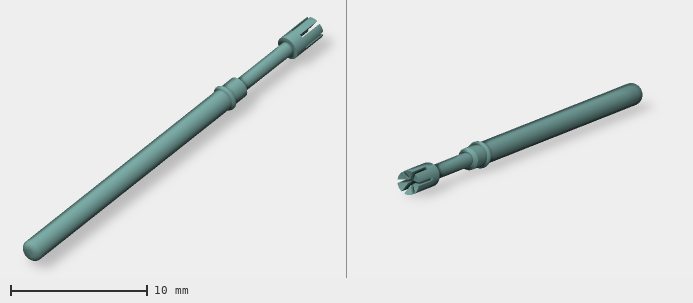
import cadquery as cq

overall_length = 32.3

head_radius = 0.92
head_length = 2.97
slot_width = 0.25
slot_length = 1.97
slot_count = 6
cup_depth = 0.5

stem_radius = 0.55

barrel_radius = 0.85
barrel_start = 8.3
shoulder_chamfer = 0.23
tail_round_radius = 0.45

ring_radius = 1.017
ring_position = 10.08
ring_round_radius = 0.23

half_length = overall_length / 2


def cylinder(radius, start, end):
    """Round bar along Y between two distances from the tip."""
    plane = cq.Workplane("XZ", origin=(0, half_length - start, 0))
    return plane.circle(radius).extrude(end - start)


def make_head():
    """Head with a conical cup in its tip and evenly spaced radial slots."""
    head = cylinder(head_radius, 0, head_length)
    cup_profile = [(0, half_length), (head_radius, half_length), (0, half_length - cup_depth)]
    cup = cq.Workplane("XY").polyline(cup_profile).close().revolve(360, (0, 0, 0), (0, 1, 0))
    head = head.cut(cup)
    cutter_span = 2 * (head_radius + slot_width)
    cutter = cq.Workplane("XY").box(cutter_span, slot_length, slot_width)
    cutter = cutter.translate((0, half_length - slot_length / 2, 0))
    for index in range(slot_count // 2):
        angle = index * 360 / slot_count
        head = head.cut(cutter.rotate((0, 0, 0), (0, 1, 0), angle))
    return head


def make_barrel():
    """Barrel with a chamfered shoulder and a rounded tail."""
    barrel = cylinder(barrel_radius, barrel_start, overall_length)
    barrel = barrel.faces(">Y").chamfer(shoulder_chamfer)
    return barrel.faces("<Y").edges().fillet(tail_round_radius)


def make_ring():
    """Press ring with a half-round cross-section sunk slightly into the barrel."""
    ring_y = half_length - ring_position
    chord_x = ring_radius - ring_round_radius
    section = (
        cq.Workplane("XY")
        .moveTo(chord_x, ring_y - ring_round_radius)
        .threePointArc((ring_radius, ring_y), (chord_x, ring_y + ring_round_radius))
        .close()
    )
    return section.revolve(360, (0, 0, 0), (0, 1, 0))


stem = cylinder(stem_radius, head_length, barrel_start)
result = make_head().union(stem).union(make_barrel()).union(make_ring())